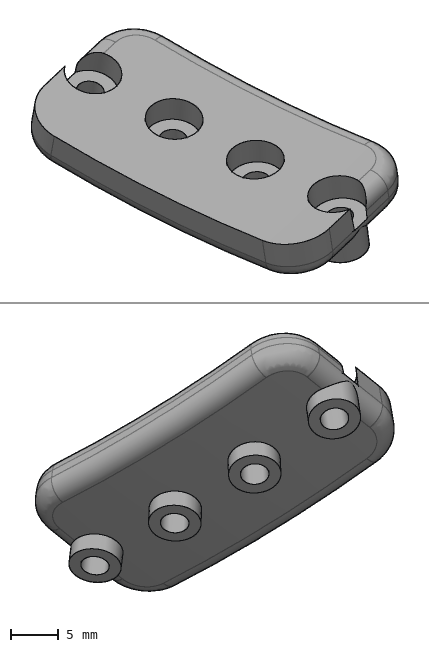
import cadquery as cq
import math

width = 20.0
top_radius = 125.0
thickness = 5.0
half_chord = 18.4
corner_radius = thickness
edge_radius = 2.0

stud_count = 4
stud_pitch = 10.5
stud_diameter = 5.5
stud_length = 2.0
bore_diameter = 2.97
recess_diameter = 6.02
recess_depth = 3.0

bottom_radius = top_radius + thickness
tip_radius = bottom_radius + stud_length
floor_radius = top_radius + recess_depth
end_angle = math.asin(half_chord / top_radius)
clearance = 3.85


def arc_point(radius, angle):
    """Point at an angle from straight down; the middle of the upper face is at Z = 0."""
    return (radius * math.sin(angle), top_radius - radius * math.cos(angle))


def make_blank():
    """Arched bar with radial ends and rounded plan corners."""
    bar = (
        cq.Workplane("XZ")
        .moveTo(*arc_point(top_radius, -end_angle))
        .threePointArc(arc_point(top_radius, 0), arc_point(top_radius, end_angle))
        .lineTo(*arc_point(bottom_radius, end_angle))
        .threePointArc(arc_point(bottom_radius, 0), arc_point(bottom_radius, -end_angle))
        .close()
        .extrude(width / 2, both=True)
    )
    corners = bar.edges("#Y").edges("%LINE")
    return corners.fillet(corner_radius)


def half_space(side):
    """Box covering the front (side = -1) or rear (side = 1) half of the plate."""
    size = 4 * width
    return cq.Workplane("XY").box(size, size, size).translate((0, side * size / 2, 0))


def make_plate():
    """Lower rim rounded all round, upper rim rounded on the rear half only."""
    blank = make_blank()
    bottom_rounded = blank.faces("<Z").edges().fillet(edge_radius)
    fully_rounded = bottom_rounded.faces(cq.selectors.NearestToPointSelector((0, 0, 0)))
    fully_rounded = fully_rounded.edges().fillet(edge_radius)
    front = bottom_rounded.intersect(half_space(-1))
    rear = fully_rounded.intersect(half_space(1))
    return front.union(rear)


def radial_cylinder(diameter, inner_radius, outer_radius, angle):
    """Cylinder pointing away from the arch axis, between two radii."""
    x, z = arc_point(inner_radius, angle)
    direction = cq.Vector(math.sin(angle), 0, -math.cos(angle))
    length = outer_radius - inner_radius
    return cq.Workplane(cq.Solid.makeCylinder(diameter / 2, length, cq.Vector(x, 0, z), direction))


stud_angles = [
    (i - (stud_count - 1) / 2) * stud_pitch / top_radius for i in range(stud_count)
]

result = make_plate()
for angle in stud_angles:
    result = result.union(radial_cylinder(stud_diameter, floor_radius, tip_radius, angle))
for angle in stud_angles:
    start_radius = top_radius - clearance
    result = result.cut(radial_cylinder(recess_diameter, start_radius, floor_radius, angle))
    result = result.cut(radial_cylinder(bore_diameter, start_radius, tip_radius + clearance, angle))